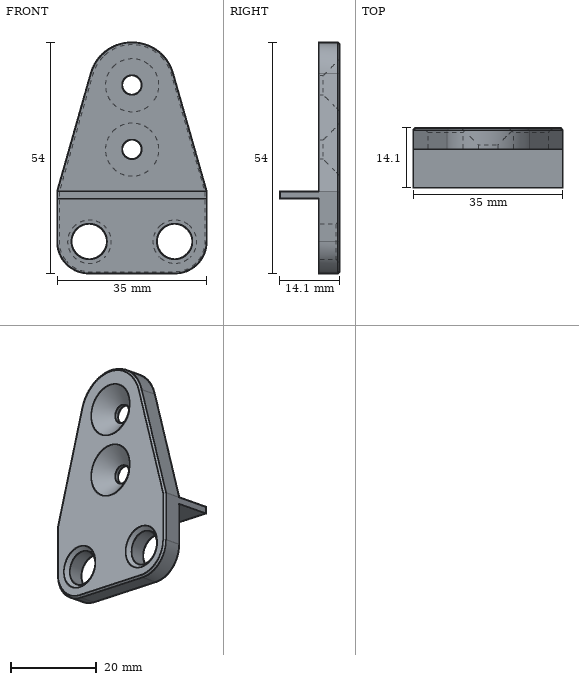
import cadquery as cq
import math

width = 35.0
height = 54.05
plate_thickness = 5.0
top_radius = 10.0
corner_radius = 7.5
back_chamfer = 0.5

shelf_depth = 9.05
shelf_thickness = 1.7
shelf_top = 19.2

small_hole_diameter = 4.5
small_hole_front_depth = 1.05
countersink_diameter = 12.45
small_hole_spacing = 15.05
large_hole_diameter = 8.2
large_hole_chamfer = 1.0

countersink_depth = plate_thickness - small_hole_front_depth
large_hole_mouth_diameter = large_hole_diameter + 2 * large_hole_chamfer
half_width = width / 2
top_center = height - top_radius
corner_center = half_width - corner_radius

rise = top_center - shelf_top
center_distance = math.hypot(half_width, rise)
tangent_angle = math.acos(top_radius / center_distance) - math.atan2(rise, half_width)
tangent_x = top_radius * math.cos(tangent_angle)
tangent_z = top_center + top_radius * math.sin(tangent_angle)


def make_plate():
    """Tapered plate with its front face on Y = 0 and a chamfered back edge."""
    corner_inset = corner_radius * (1 - math.sqrt(0.5))
    outline = (
        cq.Workplane("XZ")
        .moveTo(-corner_center, 0)
        .lineTo(corner_center, 0)
        .threePointArc((half_width - corner_inset, corner_inset), (half_width, corner_radius))
        .lineTo(half_width, shelf_top)
        .lineTo(tangent_x, tangent_z)
        .threePointArc((0, height), (-tangent_x, tangent_z))
        .lineTo(-half_width, shelf_top)
        .lineTo(-half_width, corner_radius)
        .threePointArc((corner_inset - half_width, corner_inset), (-corner_center, 0))
        .close()
    )
    return outline.extrude(-plate_thickness).faces(">Y").edges().chamfer(back_chamfer)


def make_shelf():
    """Full-width flat shelf in front of the plate."""
    return cq.Workplane("XY", origin=(0, 0, shelf_top - shelf_thickness)).box(
        width, shelf_depth, shelf_thickness, centered=(True, False, False)
    ).translate((0, -shelf_depth, 0))


def make_holes(centers, diameter):
    """Cylinders running through the plate from front to back."""
    return cq.Workplane("XZ").pushPoints(centers).circle(diameter / 2).extrude(-plate_thickness)


def make_countersinks(centers, hole_diameter, mouth_diameter, depth):
    """Cones that widen from the hole to the back face of the plate."""
    cone = cq.Solid.makeCone(
        hole_diameter / 2,
        mouth_diameter / 2,
        depth,
        pnt=cq.Vector(0, plate_thickness - depth, 0),
        dir=cq.Vector(0, 1, 0),
    )
    cones = cq.Workplane("XY")
    for x, z in centers:
        cones = cones.add(cone.translate(cq.Vector(x, 0, z)))
    return cones.combine()


small_hole_centers = [(0, top_center), (0, top_center - small_hole_spacing)]
large_hole_centers = [(side * corner_center, corner_radius) for side in (-1, 1)]

small_countersinks = make_countersinks(
    small_hole_centers, small_hole_diameter, countersink_diameter, countersink_depth
)
large_countersinks = make_countersinks(
    large_hole_centers, large_hole_diameter, large_hole_mouth_diameter, large_hole_chamfer
)

result = (
    make_plate()
    .cut(make_holes(small_hole_centers, small_hole_diameter))
    .cut(make_holes(large_hole_centers, large_hole_diameter))
    .cut(small_countersinks)
    .cut(large_countersinks)
    .union(make_shelf())
)